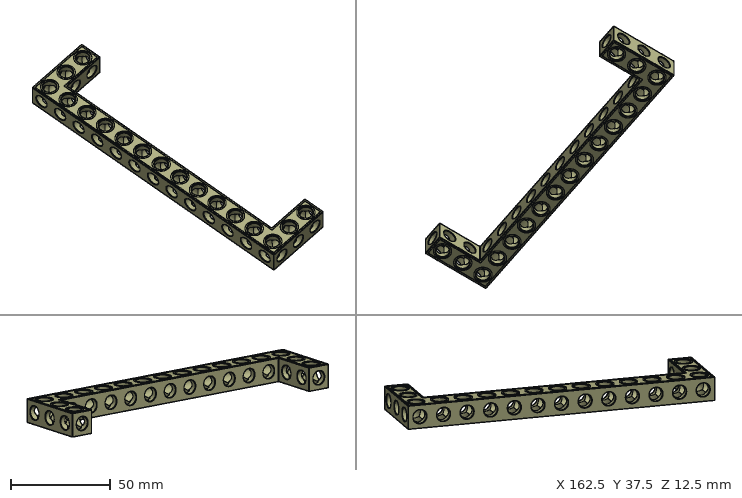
import cadquery as cq

length = 162.5
cells_long = 13
cells_deep = 3
hole_diameter = 7.0
bevel = 0.3
rim_width = 0.8
panel_depth = 0.2

pitch = length / cells_long
depth = cells_deep * pitch
half_pitch = pitch / 2
border = bevel + rim_width
hole_radius = hole_diameter / 2
mouth_radius = hole_radius + bevel
ring_radius = hole_radius + border

X_AXIS = cq.Vector(1, 0, 0)
Y_AXIS = cq.Vector(0, 1, 0)
Z_AXIS = cq.Vector(0, 0, 1)

end_columns = (0, cells_long - 1)
cells = [(column, 0) for column in range(cells_long)]
cells += [(column, row) for column in end_columns for row in range(1, cells_deep)]


def cell_center(index):
    """Distance from the outer corner of the U to the middle of a cell."""
    return (index + 0.5) * pitch


def u_prism(inset, bottom, height):
    """U-shaped slab with its outline moved inwards by inset."""
    arm = pitch - inset
    outline = [
        (inset, inset),
        (length - inset, inset),
        (length - inset, depth - inset),
        (length - arm, depth - inset),
        (length - arm, arm),
        (arm, arm),
        (arm, depth - inset),
        (inset, depth - inset),
    ]
    return cq.Workplane("XY", origin=(0, 0, bottom)).polyline(outline).close().extrude(height)


def make_panel(bottom):
    """Shallow slab inside the border of the U, left open around each hole."""
    centers = [(cell_center(column), cell_center(row)) for column, row in cells]
    rings = (
        cq.Workplane("XY", origin=(0, 0, bottom))
        .pushPoints(centers)
        .circle(ring_radius)
        .extrude(panel_depth)
    )
    return u_prism(border, bottom, panel_depth).cut(rings)


def cut_bevelled_hole(beam, start, direction, span):
    """Hole through one stretch of beam, bevelled at both mouths."""
    end = start + direction * span
    bore = cq.Solid.makeCylinder(hole_radius, span, start, direction)
    entry = cq.Solid.makeCone(mouth_radius, hole_radius, bevel, start, direction)
    leave = cq.Solid.makeCone(mouth_radius, hole_radius, bevel, end, direction * -1)
    for cutter in (bore, entry, leave):
        beam = beam.cut(cq.Workplane(cutter))
    return beam


def cut_vertical_holes(beam):
    """One hole along Z in every cell."""
    for column, row in cells:
        start = cq.Vector(cell_center(column), cell_center(row), 0)
        beam = cut_bevelled_hole(beam, start, Z_AXIS, pitch)
    return beam


def cut_side_holes(beam):
    """Holes along Y through the base and along X through the arms."""
    for column in range(cells_long):
        span = depth if column in end_columns else pitch
        beam = cut_bevelled_hole(beam, cq.Vector(cell_center(column), 0, half_pitch), Y_AXIS, span)
    beam = cut_bevelled_hole(beam, cq.Vector(0, cell_center(0), half_pitch), X_AXIS, length)
    for row in range(1, cells_deep):
        for arm_start in (0, length - pitch):
            start = cq.Vector(arm_start, cell_center(row), half_pitch)
            beam = cut_bevelled_hole(beam, start, X_AXIS, pitch)
    return beam


beam = u_prism(0, 0, pitch).edges().chamfer(bevel)
beam = cut_side_holes(cut_vertical_holes(beam))
result = beam.cut(make_panel(0)).cut(make_panel(pitch - panel_depth))